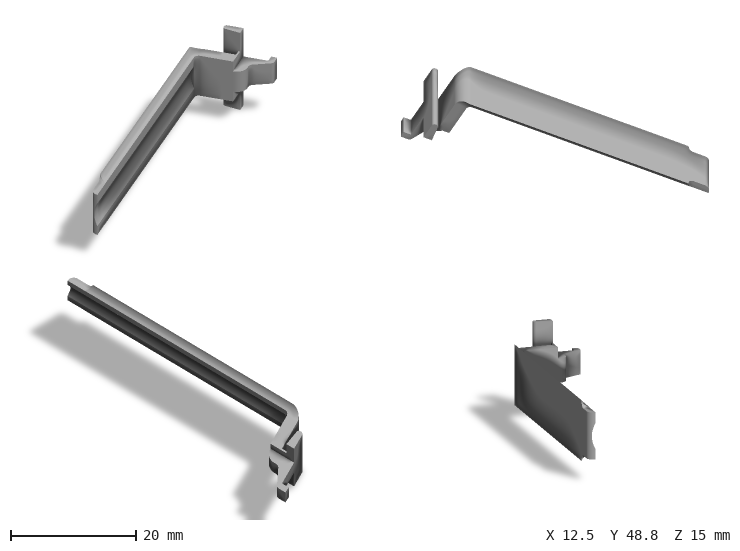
import cadquery as cq
import math

length = 48.8
strip_thickness = 1.15
strip_height = 10.0
arm_height = 7.75
bar_height = 15.0
tongue_height = 3.95
arm_angle = math.radians(5)
arm_slope = math.tan(arm_angle)

bend_start = 42.1
bend_length = 1.9
inner_bend_radius = 0.8
flank_width = 1.5
arm_end_x = 7.35
arm_end_y = 42.65
slot_wall_x = 7.1

bar_tip_x = 4.25
bar_tip_radius = 0.465
bar_bottom_y = 45.7
bar_top_y = 47.15
bar_taper = 0.07

tongue_end_x = 12.5
tip_width = 1.02
tip_corner_y = 47.2
tip_fillet = 0.2
tip_corner_radius = 0.6
heel_x = 9.15
heel_start_y = 44.35
heel_end_y = 44.9
heel_radius = 1.85
neck_x = 9.5
neck_y = 45.55
neck_radius = 0.8

notch_y = 4.0
notch_radius = 0.9
hollow_half_width = 2.2
hollow_depth = 0.6
hollow_length = 41.5


def extrude_centered(outline, height):
    """Extrude a closed XY outline symmetrically about Z = 0."""
    return outline.extrude(height / 2, both=True)


def strip_and_arm():
    """Strip, bend and sloped arm, up to the root of the crossbar."""
    inner_corner_y = arm_end_y - arm_slope * (arm_end_x - strip_thickness)
    bend_corner_y = bend_start + bend_length
    slot_bottom_y = bend_corner_y + arm_slope * slot_wall_x
    bend_end_x = bend_length * math.cos(arm_angle)
    bend_end_y = bend_corner_y + bend_length * math.sin(arm_angle)
    outline = (
        cq.Workplane("XY")
        .moveTo(strip_thickness, 0)
        .lineTo(strip_thickness, inner_corner_y)
        .lineTo(arm_end_x, arm_end_y)
        .lineTo(arm_end_x, bar_bottom_y)
        .lineTo(slot_wall_x, bar_bottom_y)
        .lineTo(slot_wall_x, slot_bottom_y)
        .lineTo(bend_end_x, bend_end_y)
        .tangentArcPoint((0, bend_start), relative=False)
        .lineTo(0, strip_thickness)
        .radiusArc((strip_thickness, 0), -strip_thickness)
        .close()
    )
    body = extrude_centered(outline, strip_height)
    inner_edge = cq.selectors.NearestToPointSelector((strip_thickness, inner_corner_y, 0))
    return body.edges(inner_edge).fillet(inner_bend_radius)


def edge_envelope():
    """XZ section whose edges curve in from the outer face to the arm height."""
    half_strip = strip_height / 2
    half_arm = arm_height / 2
    flank_drop = half_strip - half_arm
    flank_radius = (flank_width**2 + flank_drop**2) / (2 * flank_drop)
    return (
        cq.Workplane("XZ")
        .moveTo(0, -half_strip)
        .lineTo(0, half_strip)
        .radiusArc((flank_width, half_arm), -flank_radius)
        .lineTo(arm_end_x, half_arm)
        .lineTo(arm_end_x, -half_arm)
        .lineTo(flank_width, -half_arm)
        .radiusArc((0, -half_strip), -flank_radius)
        .close()
        .extrude(-length)
    )


def tip_notch():
    """Upper corner cut that narrows the strip tip, with a rounded root."""
    half_arm = arm_height / 2
    cut_top = strip_height
    return (
        cq.Workplane("YZ")
        .moveTo(0, half_arm)
        .lineTo(notch_y - notch_radius, half_arm)
        .radiusArc((notch_y, half_arm + notch_radius), -notch_radius)
        .lineTo(notch_y, cut_top)
        .lineTo(0, cut_top)
        .close()
        .extrude(strip_thickness)
    )


def inner_hollow():
    """Shallow cylindrical hollow along the inner face of the strip."""
    radius = (hollow_half_width**2 + hollow_depth**2) / (2 * hollow_depth)
    center_x = strip_thickness - hollow_depth + radius
    hollow = cq.Workplane("XZ").center(center_x, 0).circle(radius).extrude(-hollow_length)
    inner_side = cq.Workplane("XY").box(
        strip_thickness, hollow_length, strip_height, centered=(False, False, True)
    )
    return hollow.intersect(inner_side)


def crossbar():
    """Tall bar with a rounded free edge."""
    run = arm_end_x - bar_tip_x
    outline = (
        cq.Workplane("XY")
        .moveTo(arm_end_x, bar_bottom_y)
        .lineTo(arm_end_x, bar_top_y)
        .lineTo(bar_tip_x, bar_top_y - arm_slope * run)
        .lineTo(bar_tip_x, bar_bottom_y + bar_taper * run)
        .close()
    )
    return extrude_centered(outline, bar_height).edges("|Z and <X").fillet(bar_tip_radius)


def tongue():
    """Narrow curved tongue ending in an upturned tip."""
    tip_inner_x = tongue_end_x - tip_width
    tip_root_y = bar_top_y + arm_slope * (tip_inner_x - arm_end_x)
    outline = (
        cq.Workplane("XY")
        .moveTo(arm_end_x, arm_end_y)
        .radiusArc((heel_x, heel_start_y), -heel_radius)
        .lineTo(heel_x, heel_end_y)
        .radiusArc((neck_x, neck_y), neck_radius)
        .lineTo(tongue_end_x, tip_corner_y)
        .lineTo(tongue_end_x, length)
        .lineTo(tip_inner_x, length)
        .lineTo(tip_inner_x, tip_root_y)
        .lineTo(arm_end_x, bar_top_y)
        .close()
    )
    body = extrude_centered(outline, tongue_height)
    root_edge = cq.selectors.NearestToPointSelector((tip_inner_x, tip_root_y, 0))
    body = body.edges(root_edge).fillet(tip_fillet)
    tip_corner = cq.selectors.NearestToPointSelector((tongue_end_x, tip_corner_y, 0))
    body = body.edges(tip_corner).fillet(tip_corner_radius)
    return body


notch = tip_notch()
blade = (
    strip_and_arm()
    .intersect(edge_envelope())
    .cut(notch)
    .cut(notch.mirror("XY"))
    .cut(inner_hollow())
)
result = blade.union(crossbar()).union(tongue())